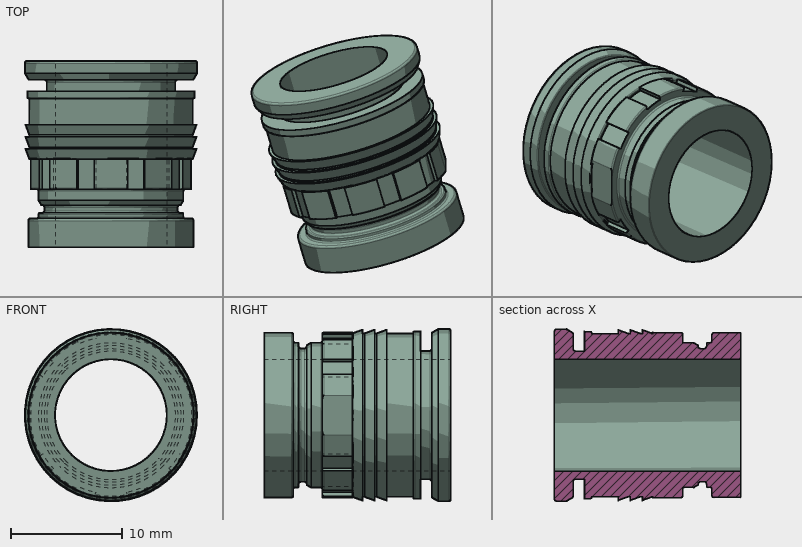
import cadquery as cq
import math

length = 16.75
bore_radius = 5.0

rear_flange_diameter = 15.5
rear_flange_radius = rear_flange_diameter / 2
rear_taper_start = 1.1
rear_flange_end = 1.71
shoulder_angle = 30.0
rear_neck_radius = 5.78

collar_start = 2.71
collar_end = 3.38
collar_radius = 7.52
collar_round = 0.13
body_radius = 7.35

ridge_start = 5.73
ridge_pitch = 1.09
ridge_tip_radius = 7.69
ridge_angle = 20.0
ridge_count = 3
ridges_end = 8.83

grip_end = 11.54
grip_radius = 7.42
grip_flat_distance = 7.2
slot_floor_radius = 7.05
slot_width = 1.64
slot_positions = 10

step_radius = 6.52
step_taper_start = 12.53
step_end = 12.95
front_neck_radius = 6.0
front_ring_start = 13.65
front_flange_start = 14.14
front_flange_radius = grip_radius

large_round = 0.2
medium_round = 0.13
small_round = 0.07


def rounded_profile(corners):
    """Closed profile from (station, radius, corner round); each round becomes a tangent arc."""
    points = [(cq.Vector(radius, length / 2 - station), blend) for station, radius, blend in corners]
    outline = cq.Workplane("XY").moveTo(*points[0][0].toTuple()[:2])
    for index in range(1, len(points)):
        corner, blend = points[index]
        if blend == 0:
            outline = outline.lineTo(corner.x, corner.y)
            continue
        before = (points[index - 1][0] - corner).normalized()
        after = (points[(index + 1) % len(points)][0] - corner).normalized()
        half_angle = before.getAngle(after) / 2
        setback = blend / math.tan(half_angle)
        arc_start = corner + before * setback
        arc_end = corner + after * setback
        middle_distance = blend / math.sin(half_angle) - blend
        arc_middle = corner + (before + after).normalized() * middle_distance
        outline = outline.lineTo(arc_start.x, arc_start.y)
        outline = outline.threePointArc((arc_middle.x, arc_middle.y), (arc_end.x, arc_end.y))
    return outline.close()


def tapered_radius(start_radius, run, angle):
    """Radius left after a cone of the given slope has run along the axis."""
    return start_radius - run * math.tan(math.radians(angle))


def rear_corners():
    shoulder_run = rear_flange_end - rear_taper_start
    shoulder_radius = tapered_radius(rear_flange_radius, shoulder_run, shoulder_angle)
    return [
        (0, bore_radius, 0),
        (0, rear_flange_radius, large_round),
        (rear_taper_start, rear_flange_radius, 0),
        (rear_flange_end, shoulder_radius, medium_round),
        (rear_flange_end, rear_neck_radius, large_round),
        (collar_start, rear_neck_radius, 0),
        (collar_start, collar_radius, 0),
        (collar_end, collar_radius, collar_round),
        (collar_end, body_radius, 0),
    ]


def ridge_corners():
    corners = []
    taper_run = (ridge_tip_radius - body_radius) / math.tan(math.radians(ridge_angle))
    for index in range(ridge_count):
        tip = ridge_start + index * ridge_pitch
        corners.append((tip, body_radius, 0))
        corners.append((tip, ridge_tip_radius, 0))
        if index < ridge_count - 1:
            corners.append((tip + taper_run, body_radius, 0))
    last_tip = ridge_start + (ridge_count - 1) * ridge_pitch
    last_radius = tapered_radius(ridge_tip_radius, ridges_end - last_tip, ridge_angle)
    corners.append((ridges_end, last_radius, medium_round))
    corners.append((ridges_end, slot_floor_radius, 0))
    return corners


def front_corners():
    step_end_radius = tapered_radius(step_radius, step_end - step_taper_start, shoulder_angle)
    return [
        (grip_end, slot_floor_radius, 0),
        (grip_end, step_radius, medium_round),
        (step_taper_start, step_radius, 0),
        (step_end, step_end_radius, 0),
        (step_end, front_neck_radius, large_round),
        (front_ring_start, front_neck_radius, large_round),
        (front_ring_start, step_radius, medium_round),
        (front_flange_start, step_radius, medium_round),
        (front_flange_start, front_flange_radius, large_round),
        (length, front_flange_radius, small_round),
        (length, bore_radius, 0),
    ]


def revolve_about_y(profile):
    return profile.revolve(360, (0, 0, 0), (0, 1, 0))


def grip_band():
    band_corners = [
        (ridges_end, bore_radius, 0),
        (ridges_end, grip_radius, 0),
        (grip_end, grip_radius, medium_round),
        (grip_end, bore_radius, 0),
    ]
    band = revolve_about_y(rounded_profile(band_corners))

    band_length = grip_end - ridges_end
    band_middle = length / 2 - (ridges_end + grip_end) / 2
    flat_limits = cq.Workplane("XY").box(2 * grip_flat_distance, band_length, 2 * grip_radius)
    band = band.intersect(flat_limits.translate((0, band_middle, 0)))

    cutter_length = 2 * grip_radius
    cutter = cq.Workplane("XY").box(cutter_length, band_length, slot_width)
    cutter = cutter.translate((cutter_length / 2, band_middle, 0))
    for index in range(slot_positions):
        if index % (slot_positions // 2) == 0:
            continue
        angle = index * 360 / slot_positions
        band = band.cut(cutter.rotate((0, 0, 0), (0, 1, 0), angle))
    return band


core = revolve_about_y(rounded_profile(rear_corners() + ridge_corners() + front_corners()))
result = core.union(grip_band())